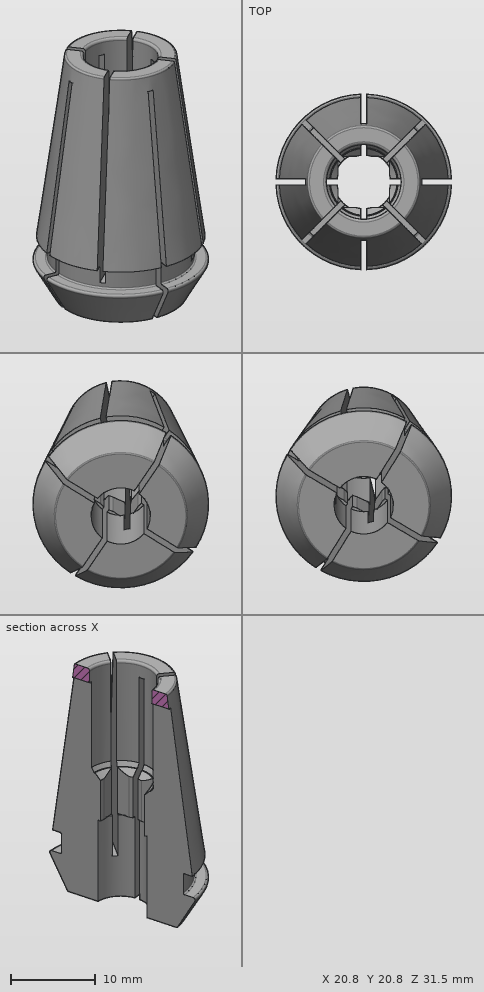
import cadquery as cq
import math

length = 31.5

flange_radius = 10.4
flange_top = 4.82
nose_half_angle = 30.0
neck_radius = 8.73
taper_start = 7.65
taper_base_radius = 10.0
taper_half_angle = 8.0

shank_radius = 3.5
shank_depth = 11.02
square_half_width = 3.02
drive_bore_radius = 3.15
lead_in_radius = 3.95
lead_in_half_angle = 45.0
lead_in_top = 17.32
ledge_radius = 4.05
relief_radius = 4.4
relief_half_angle = 30.0

slot_width = 0.7
nose_slot_angle = 0.0
back_slot_angle = 45.0
nose_slot_top = 29.5
back_slot_floor = 5.5

flange_rounding = 0.28
taper_end_rounding = 0.25
nose_rounding = 0.2
neck_rounding = 0.2
mouth_rounding = 0.35

nose_slope = math.tan(math.radians(nose_half_angle))
lead_in_slope = math.tan(math.radians(lead_in_half_angle))
relief_slope = math.tan(math.radians(relief_half_angle))
flange_corner_radius = flange_radius + flange_rounding * (1 / nose_slope - 1)
nose_radius = flange_corner_radius - flange_top * nose_slope
taper_end_radius = taper_base_radius - (length - taper_start) * math.tan(math.radians(taper_half_angle))
lead_in_bottom = lead_in_top - (lead_in_radius - drive_bore_radius) / lead_in_slope
relief_floor = lead_in_top + (relief_radius - ledge_radius) / relief_slope


def make_body():
    """Revolve the half section of the unslotted collet about Z."""
    section = [
        (shank_radius, 0),
        (nose_radius, 0),
        (flange_corner_radius, flange_top),
        (neck_radius, flange_top),
        (neck_radius, taper_start),
        (taper_base_radius, taper_start),
        (taper_end_radius, length),
        (relief_radius, length),
        (relief_radius, relief_floor),
        (ledge_radius, lead_in_top),
        (lead_in_radius, lead_in_top),
        (drive_bore_radius, lead_in_bottom),
        (drive_bore_radius, shank_depth),
        (shank_radius, shank_depth),
    ]
    half_section = cq.Workplane("XZ").polyline(section).close()
    return half_section.revolve(360, (0, 0), (0, 1)).rotate((0, 0, 0), (0, 0, 1), back_slot_angle)


def round_rim(body, radius, height, rounding):
    """Round the circular edge that has the given radius and height."""
    tolerance = 0.003

    def is_rim(edge):
        return (
            edge.geomType() == "CIRCLE"
            and abs(edge.radius() - radius) < tolerance
            and abs(edge.Center().z - height) < tolerance
        )

    return body.edges().filter(is_rim).fillet(rounding)


def make_square_drive():
    """Square hole whose corners break out through the lead-in cone."""
    side = 2 * square_half_width
    return (
        cq.Workplane("XY")
        .workplane(offset=shank_depth)
        .rect(side, side)
        .extrude(relief_floor - shank_depth)
    )


def make_slots(bottom, top, start_angle):
    """Two crossing slots through the axis, the first at start_angle from X."""
    span = 3 * flange_radius
    slot = (
        cq.Workplane("XY")
        .workplane(offset=bottom)
        .rect(span, slot_width)
        .extrude(top - bottom)
        .rotate((0, 0, 0), (0, 0, 1), start_angle)
    )
    return slot.union(slot.rotate((0, 0, 0), (0, 0, 1), 90))


rims = [
    (nose_radius, 0, nose_rounding),
    (flange_corner_radius, flange_top, flange_rounding),
    (neck_radius, flange_top, neck_rounding),
    (neck_radius, taper_start, neck_rounding),
    (taper_end_radius, length, taper_end_rounding),
    (relief_radius, length, mouth_rounding),
]

result = make_body()
for rim_radius, rim_height, rim_rounding in rims:
    result = round_rim(result, rim_radius, rim_height, rim_rounding)

result = result.cut(make_square_drive())
result = result.cut(make_slots(0, nose_slot_top, nose_slot_angle))
result = result.cut(make_slots(back_slot_floor, length, back_slot_angle))